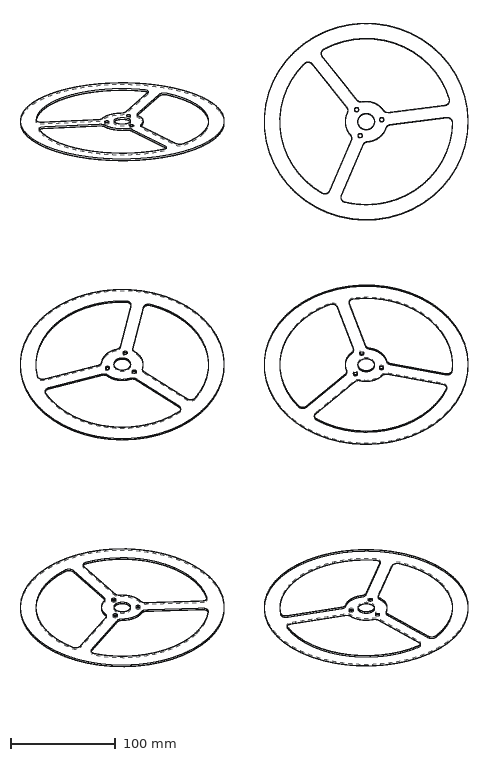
import cadquery as cq

outer_diameter = 195.0
thickness = 2.0
rim_inner_diameter = 165.0
hub_diameter = 40.0
bore_diameter = 16.0
spoke_width = 12.0
spoke_count = 3
first_spoke_angle = 90.0
corner_radius = 5.0
bolt_hole_diameter = 4.0
bolt_circle_radius = 15.0


def disc(diameter):
    """Round plate whose seam line points along the first spoke."""
    plate = cq.Workplane("XY").circle(diameter / 2).extrude(thickness)
    return plate.rotate((0, 0, 0), (0, 0, 1), first_spoke_angle)


def spoke(angle):
    """Straight bar from the centre to the middle of the rim."""
    length = (outer_diameter + rim_inner_diameter) / 4
    bar = cq.Workplane("XY").rect(length, spoke_width).extrude(thickness)
    return bar.translate((length / 2, 0, 0)).rotate((0, 0, 0), (0, 0, 1), angle)


def spoke_windows():
    """Openings between hub, spokes and rim, with rounded corners."""
    windows = disc(rim_inner_diameter).cut(disc(hub_diameter))
    for index in range(spoke_count):
        windows = windows.cut(spoke(first_spoke_angle + index * 360 / spoke_count))
    return windows.edges("|Z").fillet(corner_radius)


def hub_holes():
    """Central bore and one bolt hole in line with each spoke."""
    bolt_holes = (
        cq.Workplane("XY")
        .polarArray(bolt_circle_radius, first_spoke_angle, 360, spoke_count)
        .circle(bolt_hole_diameter / 2)
        .extrude(thickness)
    )
    return disc(bore_diameter).union(bolt_holes)


result = disc(outer_diameter).cut(spoke_windows()).cut(hub_holes())